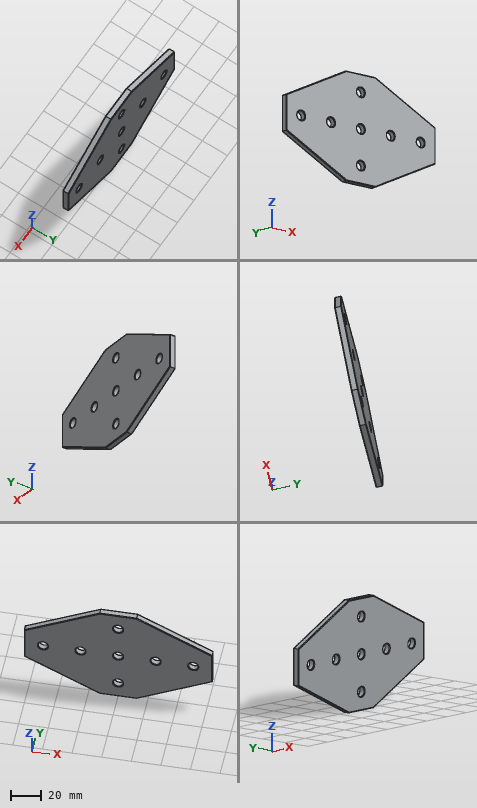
import cadquery as cq

length = 127.0
height = 76.0
thickness = 4.7
flat_length = 24.9
edge_chamfer = 0.5
hole_pitch = 25.4
hole_diameter = 6.5
hole_chamfer = 0.5

half_length = length / 2
half_height = height / 2
half_flat = flat_length / 2

outline = [
    (-half_length, -half_flat),
    (-half_flat, -half_height),
    (half_flat, -half_height),
    (half_length, -half_flat),
    (half_length, half_flat),
    (half_flat, half_height),
    (-half_flat, half_height),
    (-half_length, half_flat),
]
plate = (
    cq.Workplane("XZ")
    .polyline(outline)
    .close()
    .extrude(thickness / 2, both=True)
    .faces("<Y or >Y")
    .chamfer(edge_chamfer)
)

hole_centres = [(column * hole_pitch, 0) for column in range(-2, 3)]
hole_centres += [(0, -hole_pitch), (0, hole_pitch)]


def chamfered_hole_cutter(x, z):
    """Through-hole cutter that widens at both faces of the plate."""
    radius = hole_diameter / 2
    mouth_radius = radius + hole_chamfer
    half_thickness = thickness / 2
    chamfer_start = half_thickness - hole_chamfer
    profile = [
        (0, -half_thickness),
        (mouth_radius, -half_thickness),
        (radius, -chamfer_start),
        (radius, chamfer_start),
        (mouth_radius, half_thickness),
        (0, half_thickness),
    ]
    cutter = cq.Workplane("XY").polyline(profile).close().revolve(360, (0, 0), (0, 1))
    return cutter.translate((x, 0, z))


result = plate
for hole_x, hole_z in hole_centres:
    result = result.cut(chamfered_hole_cutter(hole_x, hole_z))